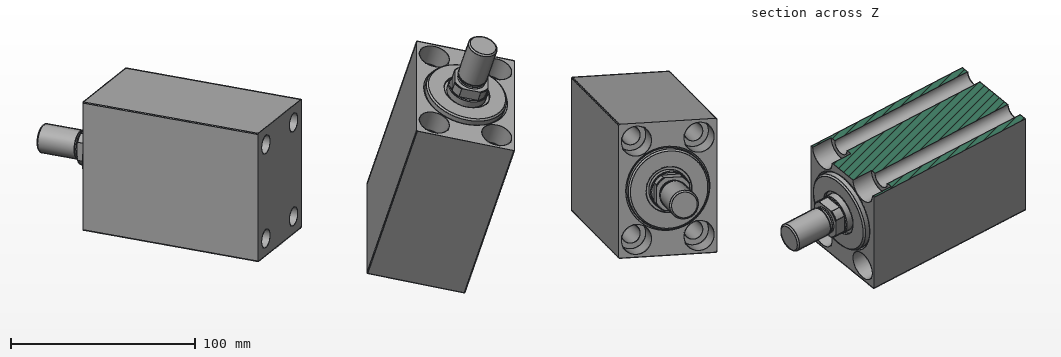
import cadquery as cq


OVERALL_LENGTH = 142.0

HOUSING_LENGTH = 105.0
HOUSING_WIDTH = 55.0
HOUSING_HEIGHT = 75.0
HOUSING_EDGE_CHAMFER = 0.5

HOLE_SPACING_Y = 35.0
HOLE_SPACING_Z = 55.0
HOLE_DIAMETER = 10.5
COUNTERBORE_DIAMETER = 16.8
COUNTERBORE_DEPTH = 12.8

GLAND_DIAMETER = 45.0
GLAND_PROTRUSION = 3.0
GLAND_SEAT_DEPTH = 11.4
GLAND_CHAMFER = 0.92
BORE_CHAMFER = 1.0
GLAND_FACE_X = -GLAND_PROTRUSION

WIPER_DIAMETER = 25.5
WIPER_LENGTH = 5.0
WIPER_SETBACK = 1.4
WIPER_FRONT_X = GLAND_FACE_X + WIPER_SETBACK
WIPER_BACK_X = WIPER_FRONT_X + WIPER_LENGTH

ROD_PROTRUSION = OVERALL_LENGTH - HOUSING_LENGTH
SHAFT_DIAMETER = 22.0
SHAFT_CHAMFER = 0.5
SHAFT_FRONT_X = -6.1
WRENCH_DIAMETER = 21.3
WRENCH_LENGTH = 6.0
WRENCH_CHAMFER = 0.35
WRENCH_ACROSS_FLATS = 18.5
NECK_DIAMETER = 14.0
NECK_LENGTH = 2.4
NECK_FLARE = 0.5
THREAD_DIAMETER = 16.0
THREAD_CHAMFER = 0.9


def cylinder(diameter, start_x, end_x):
    """Solid cylinder on the X axis."""
    return cq.Workplane("YZ", origin=(start_x, 0, 0)).circle(diameter / 2).extrude(end_x - start_x)


def make_housing():
    block = (
        cq.Workplane("XY")
        .box(HOUSING_LENGTH, HOUSING_WIDTH, HOUSING_HEIGHT, centered=(False, True, True))
        .edges("|X")
        .chamfer(HOUSING_EDGE_CHAMFER)
    )
    drilled = (
        block.faces("<X")
        .workplane(centerOption="CenterOfBoundBox")
        .rarray(HOLE_SPACING_Y, HOLE_SPACING_Z, 2, 2)
        .cboreHole(HOLE_DIAMETER, COUNTERBORE_DIAMETER, COUNTERBORE_DEPTH)
    )
    bored = drilled.cut(cylinder(GLAND_DIAMETER, 0, GLAND_SEAT_DEPTH))
    bore_rim = cq.selectors.RadiusNthSelector(-1)
    return bored.faces("<X").edges("%CIRCLE").edges(bore_rim).chamfer(BORE_CHAMFER)


def make_gland():
    disc = cylinder(GLAND_DIAMETER, GLAND_FACE_X, GLAND_SEAT_DEPTH).faces("<X").chamfer(GLAND_CHAMFER)
    wiper_recess = cylinder(WIPER_DIAMETER, GLAND_FACE_X, WIPER_BACK_X)
    rod_bore = cylinder(SHAFT_DIAMETER, GLAND_FACE_X, GLAND_SEAT_DEPTH)
    return disc.cut(wiper_recess).cut(rod_bore)


def make_wiper():
    ring = cylinder(WIPER_DIAMETER, WIPER_FRONT_X, WIPER_BACK_X)
    return ring.cut(cylinder(SHAFT_DIAMETER, WIPER_FRONT_X, WIPER_BACK_X))


def make_wrench_section(front_x):
    """Round section with four flats, chamfered on its front rim."""
    turned = cylinder(WRENCH_DIAMETER, front_x, SHAFT_FRONT_X).faces("<X").chamfer(WRENCH_CHAMFER)
    square = cq.Workplane("YZ", origin=(front_x, 0, 0)).rect(WRENCH_ACROSS_FLATS, WRENCH_ACROSS_FLATS)
    return turned.intersect(square.extrude(WRENCH_LENGTH))


def make_neck(front_x, back_x):
    """Undercut behind the thread, flared at both ends."""
    neck_radius = NECK_DIAMETER / 2
    flare_radius = neck_radius + NECK_FLARE
    return (
        cq.Workplane("XY")
        .moveTo(front_x, 0)
        .lineTo(front_x, flare_radius)
        .lineTo(front_x + NECK_FLARE, neck_radius)
        .lineTo(back_x - NECK_FLARE, neck_radius)
        .lineTo(back_x, flare_radius)
        .lineTo(back_x, 0)
        .close()
        .revolve(360, (0, 0, 0), (1, 0, 0))
    )


def make_rod():
    wrench_front_x = SHAFT_FRONT_X - WRENCH_LENGTH
    neck_front_x = wrench_front_x - NECK_LENGTH
    shaft = cylinder(SHAFT_DIAMETER, SHAFT_FRONT_X, GLAND_SEAT_DEPTH).faces("<X").chamfer(SHAFT_CHAMFER)
    thread = cylinder(THREAD_DIAMETER, -ROD_PROTRUSION, neck_front_x).faces("<X").chamfer(THREAD_CHAMFER)
    neck = make_neck(neck_front_x, wrench_front_x)
    return shaft.union(make_wrench_section(wrench_front_x)).union(neck).union(thread)


housing = make_housing().solids()
gland = make_gland().solids()
wiper = make_wiper().solids()
rod = make_rod().solids()

result = cq.Compound.makeCompound([housing.val(), gland.val(), wiper.val(), rod.val()])